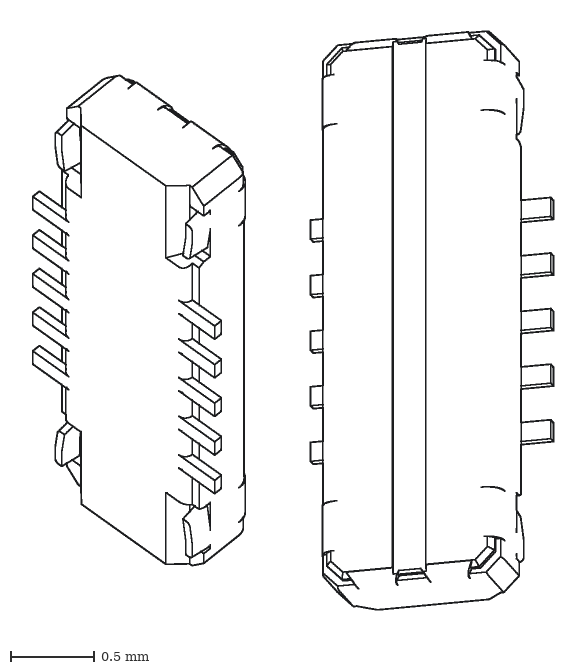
import cadquery as cq


length = 3.45
half_length = length / 2
half_width = 0.565
depth = 0.52
corner_chamfer = 0.095
back_radius = 0.115

rim_start_z = 1.508
rim_ledge_y = 0.46
rim_inset = 0.04
rim_chamfer = 0.035

side_pad_z = (1.195, rim_start_z)
side_pad_radius = 0.095
end_pad_x = (0.105, 0.35)
end_pad_radius = 0.093
end_pad_flare = 0.07

channel_half_width = end_pad_x[0]
channel_depth = 0.017

lead_count = 5
lead_pitch = 0.352
lead_width = 0.12
lead_thickness = 0.06
lead_span = 1.5

flank_round = 0.06
flank_x = 0.51

relief_depth = 0.1
relief_x = 0.35
relief_start_z = 1.07
pocket_z = (1.12, 1.54)
pocket_depth = 0.16

tab_thickness = 0.055
tab_bend_z = 1.373
tab_bend_shift = 0.028
tab_front_z = (1.2, 1.508)
tab_root_z = (1.163, pocket_z[1])
tab_end_radius = 0.03


def box(x_range, y_range, z_range):
    """Box between two limits along each axis."""
    (x0, x1), (y0, y1), (z0, z1) = x_range, y_range, z_range
    return cq.Workplane("XY").box(x1 - x0, y1 - y0, z1 - z0, centered=False).translate((x0, y0, z0))


def extrude_along_y(points, y0, y1):
    """Extrude an outline of (x, z) points from y0 to y1."""
    return cq.Workplane("XZ", origin=(0, y0, 0)).polyline(points).close().extrude(y0 - y1)


def extrude_along_x(points, x0, x1):
    """Extrude an outline of (y, z) points from x0 to x1."""
    return cq.Workplane("YZ", origin=(x0, 0, 0)).polyline(points).close().extrude(x1 - x0)


def both_sides(shape):
    return shape.union(shape.mirror("YZ"))


def both_ends(shape):
    return shape.union(shape.mirror("XY"))


def four_corners(shape):
    return both_ends(both_sides(shape))


def chamfered_block(inset, y0, y1):
    """Housing outline with cut corners, moved inward by inset, from y0 to y1."""
    return (
        box(
            (inset - half_width, half_width - inset),
            (y0, y1),
            (inset - half_length, half_length - inset),
        )
        .edges("|Y")
        .chamfer(corner_chamfer)
    )


def make_housing():
    housing = chamfered_block(0, 0, depth).faces(">Y").edges().fillet(back_radius)
    end_zone = both_ends(
        box((-half_width, half_width), (rim_ledge_y, depth), (rim_start_z, half_length))
    )
    rim = chamfered_block(rim_inset, rim_ledge_y, depth).faces(">Y").edges().chamfer(rim_chamfer)
    return housing.cut(end_zone).union(rim.intersect(end_zone))


def make_side_pad():
    pad = box((half_width - back_radius, half_width), (depth - back_radius, depth), side_pad_z)
    return pad.edges(">X and >Y").fillet(side_pad_radius)


def make_end_pad():
    """Pad on the end edge, wider toward the middle of the part."""
    inner, outer = end_pad_x
    root_z = half_length - back_radius
    outline = [
        (inner, half_length),
        (outer, half_length),
        (outer + end_pad_flare, root_z),
        (inner - end_pad_flare, root_z),
    ]
    pad = extrude_along_y(outline, depth - back_radius, depth)
    return pad.edges(">Y and >Z").fillet(end_pad_radius)


def make_flank_relief():
    """Cut beside the mounting face that leaves a rounded edge on it."""
    return (
        cq.Workplane("XY", origin=(0, 0, -pocket_z[0]))
        .moveTo(flank_x - flank_round, 0)
        .radiusArc((flank_x, flank_round), -flank_round)
        .lineTo(half_width, flank_round)
        .lineTo(half_width, 0)
        .close()
        .extrude(2 * pocket_z[0])
    )


def make_corner_relief():
    """Sloped relief open to the end, with a deeper pocket for the tab."""
    slope_end_x = relief_x + relief_depth
    pocket_start_z, pocket_end_z = pocket_z
    side_profile = [
        (0, relief_start_z),
        (relief_depth, pocket_start_z),
        (relief_depth, half_length),
        (0, half_length),
    ]
    slope_outline = [
        (relief_x, 0),
        (slope_end_x, relief_depth),
        (half_width, relief_depth),
        (half_width, 0),
    ]
    cross_section = (
        cq.Workplane("XY")
        .polyline(slope_outline)
        .close()
        .extrude(half_length)
    )
    relief = extrude_along_x(side_profile, relief_x, half_width).intersect(cross_section)
    pocket = box((slope_end_x, half_width), (relief_depth, pocket_depth), (pocket_start_z, pocket_end_z))
    return relief.union(pocket)


def make_tab():
    """Tab flush with the housing side, its inner half bent inward and its outer ends rounded."""
    root_start, root_end = tab_root_z
    front_start, front_end = tab_front_z
    inner_x = half_width - tab_thickness
    plan = [
        (half_width, root_end),
        (half_width, tab_bend_z),
        (half_width - tab_bend_shift, root_start),
        (inner_x - tab_bend_shift, root_start),
        (inner_x, tab_bend_z),
        (inner_x, root_end),
    ]
    side_profile = [
        (0, front_start),
        (pocket_depth, root_start),
        (pocket_depth, root_end),
        (0, front_end),
    ]
    tab = extrude_along_y(plan, 0, pocket_depth).intersect(
        extrude_along_x(side_profile, inner_x - tab_bend_shift, half_width)
    )
    tab = tab.faces(">Z").edges(">X").fillet(tab_end_radius)
    return tab.faces("<Z").edges(">X").fillet(tab_end_radius)


def make_leads():
    """Row of flat bars crossing the housing, flush with the mounting face."""
    bar = cq.Workplane("XY").box(lead_span, lead_thickness, lead_width, centered=(True, False, True))
    first_z = -lead_pitch * (lead_count - 1) / 2
    row = bar.translate((0, 0, first_z))
    for index in range(1, lead_count):
        row = row.union(bar.translate((0, 0, first_z + index * lead_pitch)))
    return row


back_channel = box(
    (-channel_half_width, channel_half_width),
    (depth - channel_depth, depth),
    (-half_length, half_length),
)

result = (
    make_housing()
    .union(four_corners(make_side_pad()))
    .union(four_corners(make_end_pad()))
    .cut(back_channel)
    .cut(both_sides(make_flank_relief()))
    .cut(four_corners(make_corner_relief()))
    .union(four_corners(make_tab()))
    .union(make_leads())
)